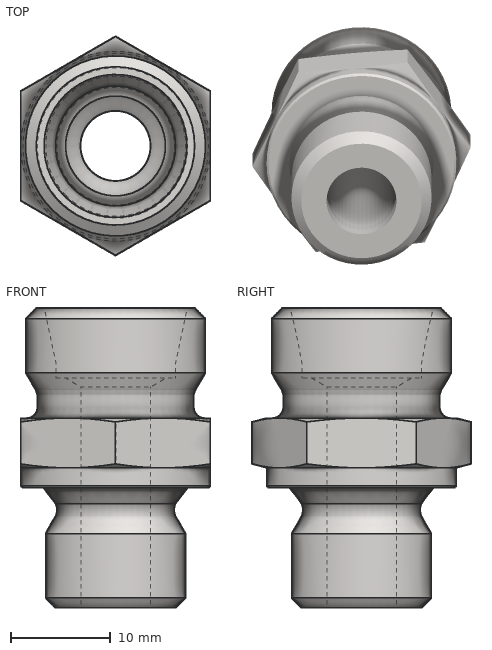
import cadquery as cq
import math

total_height = 30.0
collar_bottom = 12.0
hex_bottom = 14.0
hex_top = 19.0

across_flats = 19.0
hex_chamfer_angle = 15.0
collar_diameter = 19.0
collar_edge_chamfer = 0.2

stud_diameter = 14.0
stud_chamfer = 1.0
stud_top = 7.45
stud_groove_diameter = 11.75
stud_groove_start_diameter = 12.0
stud_groove_start = 9.18
stud_groove_end = 10.45
stud_groove_root_diameter = 14.4

head_diameter = 18.0
head_chamfer = 1.08
head_bottom = 23.52
neck_diameter = 15.7
neck_fillet = 1.05
neck_top = 21.35
neck_cone_start = 21.78
neck_cone_diameter = 15.95

through_diameter = 7.0
mouth_diameter = 14.3
socket_diameter = 12.0
mouth_half_angle = 12.0
socket_depth = 7.0
countersink_diameter = 10.0
countersink_half_angle = 59.0


def make_turned_body():
    """Solid of revolution: both threaded ends, their grooves and the collar."""
    stud_radius = stud_diameter / 2
    collar_radius = collar_diameter / 2
    neck_radius = neck_diameter / 2
    head_radius = head_diameter / 2
    groove_middle = (stud_groove_start + stud_groove_end) / 2
    fillet_inset = neck_fillet * (1 - math.sqrt(0.5))
    profile = (
        cq.Workplane("XZ")
        .lineTo(stud_radius - stud_chamfer, 0)
        .lineTo(stud_radius, stud_chamfer)
        .lineTo(stud_radius, stud_top)
        .lineTo(stud_groove_start_diameter / 2, stud_groove_start)
        .threePointArc(
            (stud_groove_diameter / 2, groove_middle),
            (stud_groove_start_diameter / 2, stud_groove_end),
        )
        .lineTo(stud_groove_root_diameter / 2, collar_bottom)
        .lineTo(collar_radius - collar_edge_chamfer, collar_bottom)
        .lineTo(collar_radius, collar_bottom + collar_edge_chamfer)
        .lineTo(collar_radius, hex_top)
        .lineTo(neck_radius + neck_fillet, hex_top)
        .threePointArc(
            (neck_radius + fillet_inset, hex_top + fillet_inset),
            (neck_radius, hex_top + neck_fillet),
        )
        .lineTo(neck_radius, neck_top)
        .lineTo(neck_cone_diameter / 2, neck_cone_start)
        .lineTo(head_radius, head_bottom)
        .lineTo(head_radius, total_height - head_chamfer)
        .lineTo(head_radius - head_chamfer, total_height)
        .lineTo(0, total_height)
        .close()
    )
    return profile.revolve(360, (0, 0, 0), (0, 1, 0))


def make_hexagon():
    """Hexagon with corners on Y, its corners turned off conically at both ends."""
    across_corners = across_flats / math.cos(math.radians(30))
    prism = (
        cq.Workplane("XY", origin=(0, 0, hex_bottom))
        .polygon(6, across_corners)
        .extrude(hex_top - hex_bottom)
        .rotate((0, 0, 0), (0, 0, 1), 90)
    )
    face_radius = collar_diameter / 2
    outer_radius = across_corners / 2 + 0.3
    drop = (outer_radius - face_radius) * math.tan(math.radians(hex_chamfer_angle))
    envelope = (
        cq.Workplane("XZ")
        .moveTo(0, hex_bottom)
        .lineTo(face_radius, hex_bottom)
        .lineTo(outer_radius, hex_bottom + drop)
        .lineTo(outer_radius, hex_top - drop)
        .lineTo(face_radius, hex_top)
        .lineTo(0, hex_top)
        .close()
        .revolve(360, (0, 0, 0), (0, 1, 0))
    )
    return prism.intersect(envelope)


def make_bore():
    """Tapered mouth, tube socket, countersink and through hole as one cutter."""
    mouth_radius = mouth_diameter / 2
    socket_radius = socket_diameter / 2
    sink_radius = countersink_diameter / 2
    through_radius = through_diameter / 2
    taper_depth = (mouth_radius - socket_radius) / math.tan(math.radians(mouth_half_angle))
    sink_depth = (sink_radius - through_radius) / math.tan(math.radians(countersink_half_angle))
    socket_floor = total_height - socket_depth
    return (
        cq.Workplane("XZ")
        .lineTo(through_radius, 0)
        .lineTo(through_radius, socket_floor - sink_depth)
        .lineTo(sink_radius, socket_floor)
        .lineTo(socket_radius, socket_floor)
        .lineTo(socket_radius, total_height - taper_depth)
        .lineTo(mouth_radius, total_height)
        .lineTo(0, total_height)
        .close()
        .revolve(360, (0, 0, 0), (0, 1, 0))
    )


result = make_turned_body().union(make_hexagon()).cut(make_bore())